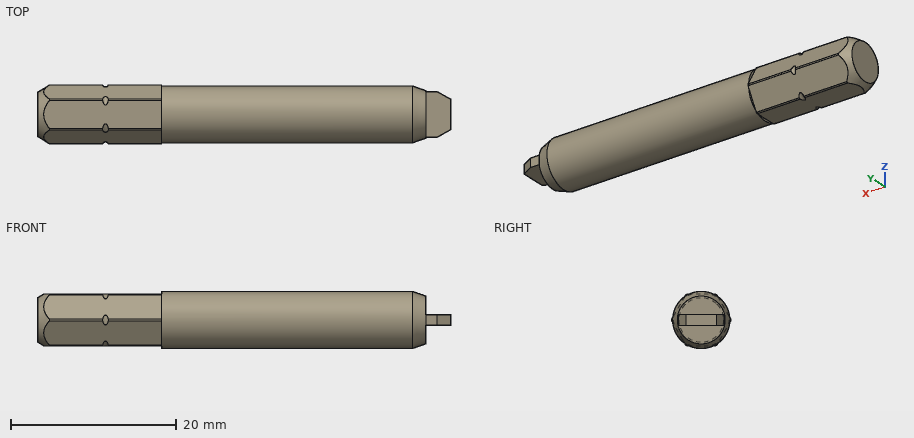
import cadquery as cq
import math

total_length = 50
hex_length = 15
shank_end = 47
nose_taper_length = 1.65
blade_taper_length = 1.65
blade_root_overlap = 0.5

across_flats = 6.3
corner_diameter = 7.15
drive_face_diameter = 5.4
drive_taper_length = 1.4

groove_center = 8.2
groove_bottom_diameter = 6.7
groove_width = 0.7

shank_diameter = 6.95
nose_diameter = 5.8

blade_width = 5.55
blade_tip_width = 3.7
blade_thickness = 1.3


def revolve_about_x(profile):
    """Close an open (x, radius) profile and turn it about the X axis."""
    return profile.close().revolve(360, (0, 0, 0), (1, 0, 0))


def make_hex_drive():
    """Hexagon with corners on +Y and -Y, turned to trim its corners, end and groove."""
    across_corners = across_flats / math.cos(math.radians(30))
    corner_radius = corner_diameter / 2
    hexagon = cq.Workplane("YZ").polygon(6, across_corners).extrude(hex_length)
    turned_profile = (
        cq.Workplane("XZ")
        .moveTo(0, 0)
        .lineTo(0, drive_face_diameter / 2)
        .lineTo(drive_taper_length, corner_radius)
        .lineTo(groove_center - groove_width / 2, corner_radius)
        .threePointArc(
            (groove_center, groove_bottom_diameter / 2),
            (groove_center + groove_width / 2, corner_radius),
        )
        .lineTo(hex_length, corner_radius)
        .lineTo(hex_length, 0)
    )
    return hexagon.intersect(revolve_about_x(turned_profile))


def make_shank():
    """Round shank that narrows in a cone next to the blade."""
    shank_profile = cq.Workplane("XZ").polyline([
        (hex_length, 0),
        (hex_length, shank_diameter / 2),
        (shank_end - nose_taper_length, shank_diameter / 2),
        (shank_end, nose_diameter / 2),
        (shank_end, 0),
    ])
    return revolve_about_x(shank_profile)


def make_blade():
    """Flat blade with a tapered tip, rooted slightly inside the shank."""
    blade_root = shank_end - blade_root_overlap
    taper_start = total_length - blade_taper_length
    return (
        cq.Workplane("XY")
        .polyline([
            (blade_root, -blade_width / 2),
            (taper_start, -blade_width / 2),
            (total_length, -blade_tip_width / 2),
            (total_length, blade_tip_width / 2),
            (taper_start, blade_width / 2),
            (blade_root, blade_width / 2),
        ])
        .close()
        .extrude(blade_thickness / 2, both=True)
    )


result = make_hex_drive().union(make_shank()).union(make_blade())